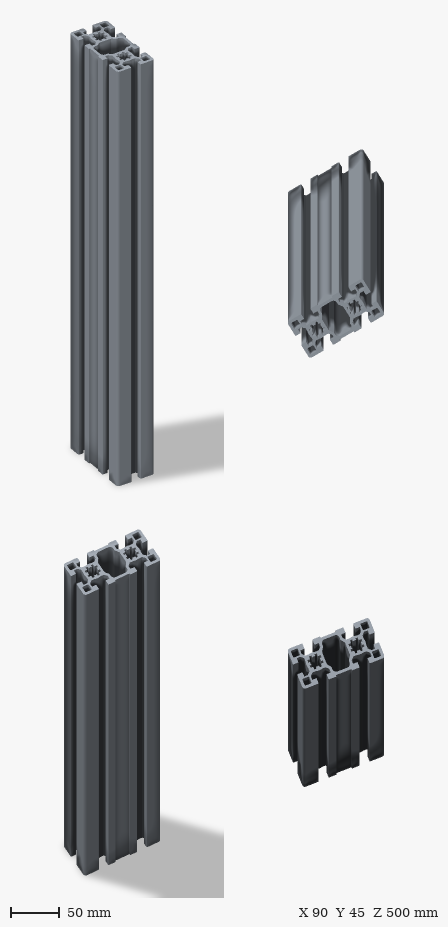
import cadquery as cq
import math

MODULE = 45.0
WIDTH = 2 * MODULE
DEPTH = MODULE
LENGTH = 500.0
OUTER_RADIUS = 3.0

SLOT_OPENING = 11.0
SLOT_INNER_WIDTH = 20.5
SLOT_CORNER_CHAMFER = 3.0
LIP_THICKNESS = 6.0
LIP_RADIUS = 0.75
CORE_SIZE = 19.0
FLOOR_BULGE_WIDTH = 7.0
FLOOR_BULGE_HEIGHT = 0.5

BORE_DIAMETER = 11.0
ARM_WIDTH = 8.5
ARM_REACH = 7.25
PAD_WIDTH = 3.5

CORNER_HOLE_SIZE = 7.5
CORNER_HOLE_RADIUS = 1.0
CORNER_HOLE_INSET = 6.75

HOLLOW_HEIGHT = 36.0
HOLLOW_TOP_WIDTH = 19.0
HOLLOW_CORNER_RADIUS = 4.0
HOLLOW_SHOULDER_Y = 11.5
HOLLOW_WAIST_WIDTH = 25.5
HOLLOW_WAIST_Y = 7.0

RECESS_WIDTH = 17.0
RECESS_DEPTH = 1.5


def bar(width, depth):
    """Rectangular bar of full length, centred on the Z axis."""
    return cq.Workplane("XY").rect(width, depth).extrude(LENGTH)


def cross(span, arm_width):
    """Cross-shaped bar of full length, centred on the Z axis."""
    return bar(span, arm_width).union(bar(arm_width, span))


def t_slot(center_x, angle):
    """T-slot cutter for one face of the module at center_x; angle 0 faces +Y."""
    top = MODULE / 2
    lip_y = top - LIP_THICKNESS
    floor_y = CORE_SIZE / 2
    opening = SLOT_OPENING / 2
    mouth = opening + LIP_RADIUS
    inner = SLOT_INNER_WIDTH / 2
    floor_end = inner - SLOT_CORNER_CHAMFER
    chamfer_y = floor_y + SLOT_CORNER_CHAMFER
    bulge = FLOOR_BULGE_WIDTH / 2
    arc_inset = LIP_RADIUS * (1 - math.sqrt(0.5))
    cutter = (
        cq.Workplane("XY")
        .moveTo(-mouth, top)
        .lineTo(mouth, top)
        .threePointArc((opening + arc_inset, top - arc_inset), (opening, top - LIP_RADIUS))
        .lineTo(opening, lip_y)
        .lineTo(inner, lip_y)
        .lineTo(inner, chamfer_y)
        .lineTo(floor_end, floor_y)
        .lineTo(bulge, floor_y)
        .threePointArc((0, floor_y + FLOOR_BULGE_HEIGHT), (-bulge, floor_y))
        .lineTo(-floor_end, floor_y)
        .lineTo(-inner, chamfer_y)
        .lineTo(-inner, lip_y)
        .lineTo(-opening, lip_y)
        .lineTo(-opening, top - LIP_RADIUS)
        .threePointArc((-opening - arc_inset, top - arc_inset), (-mouth, top))
        .close()
        .extrude(LENGTH)
    )
    return cutter.rotate((0, 0, 0), (0, 0, 1), angle).translate((center_x, 0, 0))


def core_bore(center_x):
    """Cross whose arms end in pads that reach in to the round bore."""
    arms = cross(2 * ARM_REACH, ARM_WIDTH)
    pads = cross(2 * ARM_REACH, PAD_WIDTH)
    round_bore = cq.Workplane("XY").circle(BORE_DIAMETER / 2).extrude(LENGTH)
    return arms.cut(pads).union(round_bore).translate((center_x, 0, 0))


def corner_holes():
    """Rounded square hollows in the four outer corners."""
    return (
        cq.Workplane("XY")
        .rect(WIDTH - 2 * CORNER_HOLE_INSET, DEPTH - 2 * CORNER_HOLE_INSET, forConstruction=True)
        .vertices()
        .rect(CORNER_HOLE_SIZE, CORNER_HOLE_SIZE)
        .extrude(LENGTH)
        .edges("|Z")
        .fillet(CORNER_HOLE_RADIUS)
    )


def central_hollow():
    """Rounded rectangle that widens between the two cores."""
    shoulder_x = HOLLOW_TOP_WIDTH / 2
    waist_x = HOLLOW_WAIST_WIDTH / 2
    upper = [
        (waist_x, HOLLOW_WAIST_Y),
        (shoulder_x, HOLLOW_SHOULDER_Y),
        (-shoulder_x, HOLLOW_SHOULDER_Y),
        (-waist_x, HOLLOW_WAIST_Y),
    ]
    lower = [(-x, -y) for x, y in upper]
    waist = cq.Workplane("XY").polyline(upper + lower).close().extrude(LENGTH)
    rounded = bar(HOLLOW_TOP_WIDTH, HOLLOW_HEIGHT).edges("|Z").fillet(HOLLOW_CORNER_RADIUS)
    return rounded.union(waist)


def face_recesses():
    """Shallow full-length recesses in the two wide faces."""
    face_y = DEPTH / 2
    return (
        cq.Workplane("XY")
        .pushPoints([(0, face_y), (0, -face_y)])
        .rect(RECESS_WIDTH, 2 * RECESS_DEPTH)
        .extrude(LENGTH)
    )


profile = bar(WIDTH, DEPTH).edges("|Z").fillet(OUTER_RADIUS)

for side in (-1, 1):
    module_x = side * MODULE / 2
    for slot_angle in (0, 180, -90 * side):
        profile = profile.cut(t_slot(module_x, slot_angle))
    profile = profile.cut(core_bore(module_x))

result = profile.cut(corner_holes()).cut(central_hollow()).cut(face_recesses()).solids()